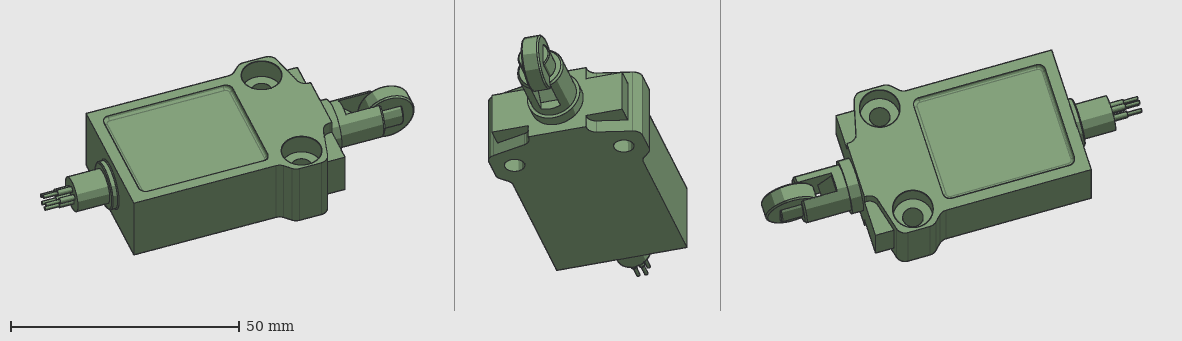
import cadquery as cq
import math


HOUSING_LENGTH = 49.35
HOUSING_HALF_WIDTH = 14.9
HOUSING_HEIGHT = 16.0
EAR_HALF_WIDTH = 17.5
EAR_BOTTOM = 36.8
EAR_TOP = 44.45
EAR_SLOPE = 14
NECK_HALF_WIDTH = 6.6
OUTLINE_RADIUS = 2.15
SHOULDER_HEIGHT = 10.0
SHOULDER_LENGTH = 8.6

MOUNT_HOLE_OFFSET = 12.5
MOUNT_HOLE_Y = 40.1
MOUNT_HOLE_DIAMETER = 4.5
COUNTERBORE_DIAMETER = 8.8
COUNTERBORE_DEPTH = 4.7
COUNTERBORE_CHAMFER = 0.1

POCKET_WIDTH = 24.9
POCKET_START = 2.7
POCKET_END = 32.8
POCKET_DEPTH = 0.9
POCKET_CORNER_RADIUS = 1.6
POCKET_FLOOR_RADIUS = 0.8

FLANGE_DIAMETER = 10.9
FLANGE_LENGTH = 1.55
FLANGE_CHAMFER = 0.3
FLANGE_FLARE = 0.3
CABLE_DIAMETER = 7.9
CABLE_END = 8.9
WIRE_COUNT = 5
WIRE_CIRCLE_RADIUS = 1.55
INSULATION_DIAMETER = 1.3
INSULATION_END = 12.3
CONDUCTOR_DIAMETER = 0.79
CONDUCTOR_END = 15.6

COLLAR_DIAMETER = 11.95
COLLAR_TOP = 2.6
PLUNGER_DIAMETER = 10.4
PLUNGER_TOP = 13.1
PLUNGER_CHAMFER = 0.4
TIP_DIAMETER = 7.1
TIP_TOP = 18.0
TIP_CHAMFER = 0.3
SLOT_WIDTH = 4.5
SLOT_FLOOR_CENTRE = 8.0
SLOT_FLOOR_EDGE = 4.9
SLOT_RIDGE_HALF_HEIGHT = SLOT_FLOOR_CENTRE - SLOT_FLOOR_EDGE

ROLLER_DIAMETER = 11.95
ROLLER_WIDTH = 3.95
ROLLER_CHAMFER = 0.35
ROLLER_TOP = 21.1


def cylinder_along_y(diameter, start, end):
    """Cylinder on the Y axis between two Y positions."""
    return cq.Workplane("XZ", origin=(0, start, 0)).circle(diameter / 2).extrude(start - end)


def housing_plate():
    """Full-height housing with two ears and a narrow neck."""
    ear_overhang = EAR_HALF_WIDTH - HOUSING_HALF_WIDTH
    neck_rise = (EAR_HALF_WIDTH - NECK_HALF_WIDTH) * math.tan(math.radians(EAR_SLOPE))
    right_side = [
        (HOUSING_HALF_WIDTH, 0),
        (HOUSING_HALF_WIDTH, EAR_BOTTOM - ear_overhang),
        (EAR_HALF_WIDTH, EAR_BOTTOM),
        (EAR_HALF_WIDTH, EAR_TOP),
        (NECK_HALF_WIDTH, EAR_TOP + neck_rise),
        (NECK_HALF_WIDTH, HOUSING_LENGTH),
    ]
    left_side = [(-x, y) for x, y in reversed(right_side)]
    plate = (
        cq.Workplane("XY", origin=(0, 0, -HOUSING_HEIGHT / 2))
        .polyline(right_side + left_side)
        .close()
        .extrude(HOUSING_HEIGHT)
    )
    return plate.edges("|Z and (not <Y) and (not >Y)").fillet(OUTLINE_RADIUS)


def shoulder_block():
    """Lower block that fills the corners beside the neck."""
    centre_y = HOUSING_LENGTH - SHOULDER_LENGTH / 2
    return cq.Workplane("XY", origin=(0, centre_y, 0)).box(
        2 * HOUSING_HALF_WIDTH, SHOULDER_LENGTH, SHOULDER_HEIGHT
    )


def label_pocket():
    """Cutter for the label pocket: rounded corners and a rounded floor edge."""
    length = POCKET_END - POCKET_START
    return (
        cq.Workplane("XY", origin=(0, POCKET_START + length / 2, HOUSING_HEIGHT / 2))
        .rect(POCKET_WIDTH, length)
        .extrude(-POCKET_DEPTH)
        .edges("|Z")
        .fillet(POCKET_CORNER_RADIUS)
        .faces("<Z")
        .edges()
        .fillet(POCKET_FLOOR_RADIUS)
    )


def mounting_hole():
    """Cutter for one through hole with a counterbore that has a small chamfer at its rim."""
    top = HOUSING_HEIGHT / 2
    rim_radius = COUNTERBORE_DIAMETER / 2 + COUNTERBORE_CHAMFER
    profile = [
        (0, -top),
        (MOUNT_HOLE_DIAMETER / 2, -top),
        (MOUNT_HOLE_DIAMETER / 2, top - COUNTERBORE_DEPTH),
        (COUNTERBORE_DIAMETER / 2, top - COUNTERBORE_DEPTH),
        (COUNTERBORE_DIAMETER / 2, top - COUNTERBORE_CHAMFER),
        (rim_radius, top),
        (0, top),
    ]
    return cq.Workplane("XZ").polyline(profile).close().revolve(360, (0, 0), (0, 1))


def make_housing():
    """Housing with its label pocket and a mounting hole in each ear."""
    housing = housing_plate().union(shoulder_block()).cut(label_pocket())
    for x in (-MOUNT_HOLE_OFFSET, MOUNT_HOLE_OFFSET):
        housing = housing.cut(mounting_hole().translate((x, MOUNT_HOLE_Y, 0)))
    return housing


def make_wire():
    """One insulated wire with a bare conductor end, on the Y axis."""
    insulation = cylinder_along_y(INSULATION_DIAMETER, -CABLE_END, -INSULATION_END)
    conductor = cylinder_along_y(CONDUCTOR_DIAMETER, -INSULATION_END, -CONDUCTOR_END)
    return insulation.union(conductor)


def make_cable():
    """Flange with a flared root, cable jacket and a ring of wires."""
    flange = cylinder_along_y(FLANGE_DIAMETER, 0, -FLANGE_LENGTH)
    flange = flange.faces("<Y").chamfer(FLANGE_CHAMFER)
    flare = cq.Workplane(
        cq.Solid.makeCone(
            FLANGE_DIAMETER / 2 + FLANGE_FLARE,
            FLANGE_DIAMETER / 2,
            FLANGE_FLARE,
            pnt=cq.Vector(0, 0, 0),
            dir=cq.Vector(0, -1, 0),
        )
    )
    cable = flange.union(flare).union(cylinder_along_y(CABLE_DIAMETER, -FLANGE_LENGTH, -CABLE_END))
    for index in range(WIRE_COUNT):
        angle = math.radians(90 + index * 360 / WIRE_COUNT)
        x = WIRE_CIRCLE_RADIUS * math.cos(angle)
        z = WIRE_CIRCLE_RADIUS * math.sin(angle)
        cable = cable.union(make_wire().translate((x, 0, z)))
    return cable


def roller_slot():
    """Cutter for the fork slot, whose floor is a ridge along X."""
    half_height = PLUNGER_DIAMETER / 2
    profile = [
        (SLOT_FLOOR_CENTRE, 0),
        (SLOT_FLOOR_EDGE, SLOT_RIDGE_HALF_HEIGHT),
        (SLOT_FLOOR_EDGE, half_height),
        (TIP_TOP, half_height),
        (TIP_TOP, -half_height),
        (SLOT_FLOOR_EDGE, -half_height),
        (SLOT_FLOOR_EDGE, -SLOT_RIDGE_HALF_HEIGHT),
    ]
    return cq.Workplane("YZ").polyline(profile).close().extrude(SLOT_WIDTH / 2, both=True)


def make_plunger():
    """Collar and stepped plunger, forked for the roller."""
    collar = cylinder_along_y(COLLAR_DIAMETER, 0, COLLAR_TOP)
    stem = cylinder_along_y(PLUNGER_DIAMETER, COLLAR_TOP, PLUNGER_TOP)
    stem = stem.faces(">Y").chamfer(PLUNGER_CHAMFER)
    tip = cylinder_along_y(TIP_DIAMETER, PLUNGER_TOP, TIP_TOP)
    tip = tip.faces(">Y").chamfer(TIP_CHAMFER)
    plunger = collar.union(stem).union(tip).cut(roller_slot())
    return plunger.translate((0, HOUSING_LENGTH, 0))


def make_switch():
    """The switch body: housing, cable tail and plunger in one solid."""
    return make_housing().union(make_cable()).union(make_plunger())


def make_roller():
    """Roller disc, turning about X inside the fork."""
    centre_y = HOUSING_LENGTH + ROLLER_TOP - ROLLER_DIAMETER / 2
    return (
        cq.Workplane("YZ", origin=(-ROLLER_WIDTH / 2, centre_y, 0))
        .circle(ROLLER_DIAMETER / 2)
        .extrude(ROLLER_WIDTH)
        .edges("%CIRCLE")
        .chamfer(ROLLER_CHAMFER)
    )


switch = make_switch()
roller = make_roller()

result = cq.Compound.makeCompound([switch.val(), roller.val()])